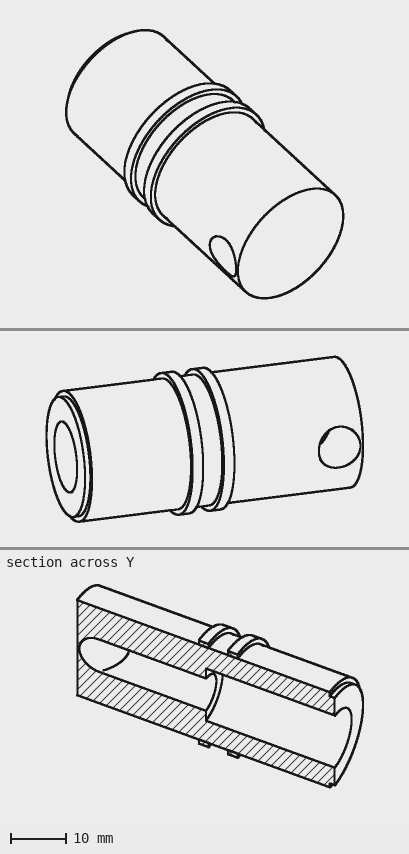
import cadquery as cq

total_length = 53.0
barrel_diameter = 24.0
nose_length = 1.0
nose_diameter = 22.0

ring_diameter = 26.0
ring_width = 2.0
first_ring_start = 20.0
ring_pitch = 6.0
ring_count = 2

inlet_diameter = 13.0
inlet_depth = 26.5
passage_diameter = 8.0
outlet_to_end = 4.5
outlet_x = total_length - outlet_to_end


def cylinder_along_x(diameter, start, length):
    """Solid cylinder on the part axis, from X = start towards +X."""
    return cq.Workplane("YZ").workplane(offset=start).circle(diameter / 2).extrude(length)


def cylinder_to_front(start_y, length):
    """Solid cylinder of passage size on the outlet axis, from Y = start_y towards -Y."""
    return (
        cq.Workplane("XZ", origin=(outlet_x, start_y, 0))
        .circle(passage_diameter / 2)
        .extrude(length)
    )


def make_passage():
    """Narrow elbow: an axial leg and a side leg that meet in a sharp mitred corner."""
    passage_radius = passage_diameter / 2
    axial_leg = cylinder_along_x(passage_diameter, inlet_depth, outlet_x - inlet_depth)
    side_leg = cylinder_to_front(0, barrel_diameter / 2)
    corner = cylinder_along_x(
        passage_diameter, outlet_x - passage_radius, passage_diameter
    ).intersect(cylinder_to_front(passage_radius, passage_diameter))
    return axial_leg.union(side_leg).union(corner)


def make_housing():
    """Barrel with a reduced nose, an inlet bore and the elbow passage."""
    nose = cylinder_along_x(nose_diameter, 0, nose_length)
    barrel = cylinder_along_x(barrel_diameter, nose_length, total_length - nose_length)
    inlet = cylinder_along_x(inlet_diameter, 0, inlet_depth)
    return nose.union(barrel).cut(inlet).cut(make_passage())


def make_ring(start):
    """Rectangular-section ring seated on the barrel surface."""
    return cylinder_along_x(ring_diameter, start, ring_width).cut(
        cylinder_along_x(barrel_diameter, start, ring_width)
    )


housing = make_housing()
rings = [make_ring(first_ring_start + index * ring_pitch) for index in range(ring_count)]

result = cq.Compound.makeCompound(
    [housing.solids().val(), *[ring.solids().val() for ring in rings]]
)